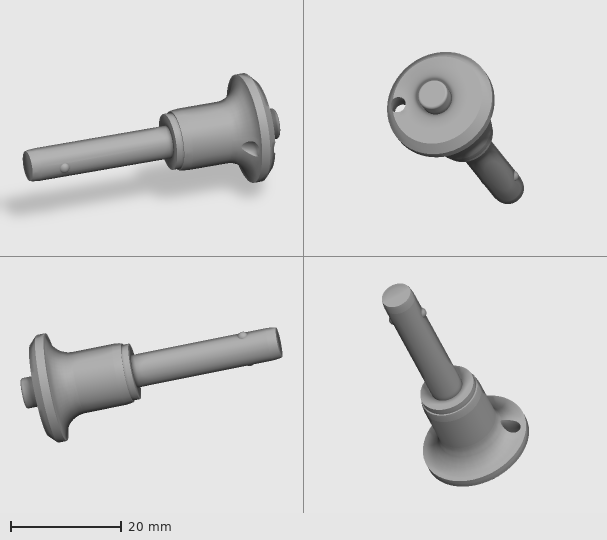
import cadquery as cq
import math

overall_length = 47.7

button_radius = 2.8
button_length = 3.0
button_fillet = 0.45

head_diameter = 20.0
head_radius = head_diameter / 2
head_thickness = 3.05
head_chamfer = 1.5

neck_radius = 5.7
neck_end = 17.9
neck_round_length = 1.57
neck_round_drop = 0.25

collar_radius = 5.15
collar_length = 1.3

shank_radius = 3.0
tip_round_length = 1.7
tip_round_drop = 0.25

ball_radius = 1.0
ball_reach = 3.6
ball_to_tip = 6.1

lanyard_hole_radius = 1.5
lanyard_hole_offset = 7.5

head_top = -button_length
head_bottom = head_top - head_thickness
flare_radius = head_radius - neck_radius
flare_end = head_bottom - flare_radius
neck_round_start = -neck_end
collar_start = neck_round_start - neck_round_length
collar_end = collar_start - collar_length
tip_round_start = -overall_length + tip_round_length


def revolved_body():
    """Revolve the half outline of the button, head, neck, collar and shank."""
    flare_mid_inset = flare_radius * (1 - math.sqrt(0.5))
    outline = (
        cq.Workplane("XY")
        .moveTo(0, 0)
        .lineTo(button_radius - button_fillet, 0)
        .tangentArcPoint((button_radius, -button_fillet), relative=False)
        .lineTo(button_radius, head_top)
        .lineTo(head_radius - head_chamfer, head_top)
        .lineTo(head_radius, head_top - head_chamfer)
        .lineTo(head_radius, head_bottom)
        .threePointArc(
            (neck_radius + flare_mid_inset, head_bottom - flare_mid_inset),
            (neck_radius, flare_end),
        )
        .lineTo(neck_radius, neck_round_start)
        .tangentArcPoint((neck_radius - neck_round_drop, collar_start), relative=False)
        .lineTo(collar_radius, collar_start)
        .lineTo(collar_radius, collar_end)
        .lineTo(shank_radius, collar_end)
        .lineTo(shank_radius, tip_round_start)
        .tangentArcPoint((shank_radius - tip_round_drop, -overall_length), relative=False)
        .lineTo(0, -overall_length)
        .close()
    )
    return outline.revolve(360, (0, 0, 0), (0, 1, 0))


def locking_ball(side):
    """Ball protruding from the shank; side is +1 or -1 along X."""
    center = (side * (ball_reach - ball_radius), ball_to_tip - overall_length, 0)
    return cq.Workplane("XY").sphere(ball_radius).translate(center)


def lanyard_hole():
    """Cylinder through the full head, parallel to the pin axis."""
    return (
        cq.Workplane("XZ")
        .center(lanyard_hole_offset, 0)
        .circle(lanyard_hole_radius)
        .extrude(overall_length)
    )


result = revolved_body().cut(lanyard_hole())
for side in (-1, 1):
    result = result.union(locking_ball(side))